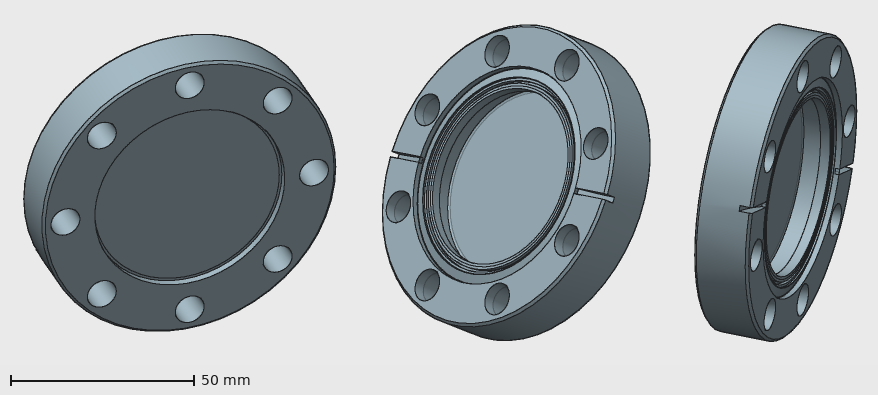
import cadquery as cq
import math


FLANGE_RADIUS = 42.8
FLANGE_THICKNESS = 15.75
RIM_CHAMFER = 0.75

RECESS_RADIUS = 30.85
RECESS_DEPTH = 1.7
KNIFE_RADIUS = 28.0
KNIFE_SLOPE = 20.0
KNIFE_TIP_FLAT = 0.15
RECESS_FLOOR_WIDTH = 0.2
FLANK_ROOT_RADIUS = RECESS_RADIUS - RECESS_FLOOR_WIDTH
FLANK_RISE = (FLANK_ROOT_RADIUS - KNIFE_RADIUS) * math.tan(math.radians(KNIFE_SLOPE))
KNIFE_TIP_X = RECESS_DEPTH - FLANK_RISE
KNIFE_INNER_RADIUS = KNIFE_RADIUS - KNIFE_TIP_FLAT

WELD_FACE_X = 1.3
RELIEF_OUTER_RADIUS = 27.15
RELIEF_DEPTH = 1.2
LIP_THICKNESS = 0.75

NECK_INNER_RADIUS = 24.9
SLEEVE_WALL = LIP_THICKNESS
NECK_OUTER_RADIUS = NECK_INNER_RADIUS + SLEEVE_WALL
STEP_INNER_X = 4.15
STEP_OUTER_X = STEP_INNER_X - SLEEVE_WALL
SKIRT_INNER_RADIUS = 26.9
SKIRT_OUTER_RADIUS = SKIRT_INNER_RADIUS + SLEEVE_WALL
RELIEF_INNER_RADIUS = NECK_OUTER_RADIUS + LIP_THICKNESS

GLASS_FRONT_X = 10.0
GLASS_THICKNESS = 3.5
GLASS_BACK_X = GLASS_FRONT_X + GLASS_THICKNESS
SEAL_WIDTH = 0.7
SEAL_RISE = 0.25

BOLT_COUNT = 8
BOLT_CIRCLE_RADIUS = 36.2
BOLT_HOLE_RADIUS = 4.2
BOLT_MOUTH_RADIUS = 4.5
BOLT_TAPER_DEPTH = 3.0

GROOVE_COUNT = 2
GROOVE_WIDTH = 1.6
GROOVE_RIM_DEPTH = 3.6
GROOVE_INNER_DEPTH = 1.2
GROOVE_OVERSHOOT = 1.0
GROOVE_ANGLE = 22.5


def revolve_about_x(points):
    """Turn a closed (x, radius) outline about the X axis."""
    return cq.Workplane("XY").polyline(points).close().revolve(360, (0, 0, 0), (1, 0, 0))


def turn_copies(tool, count, first_angle):
    """Spread copies of a tool evenly around the X axis."""
    step = 360 / count
    return [tool.rotate((0, 0, 0), (1, 0, 0), first_angle + i * step) for i in range(count)]


def make_bolt_hole():
    """Through hole at +Y whose mouth narrows to the bolt clearance radius."""
    outline = [
        (0, 0),
        (0, BOLT_MOUTH_RADIUS),
        (BOLT_TAPER_DEPTH, BOLT_HOLE_RADIUS),
        (FLANGE_THICKNESS, BOLT_HOLE_RADIUS),
        (FLANGE_THICKNESS, 0),
    ]
    return revolve_about_x(outline).translate((0, BOLT_CIRCLE_RADIUS, 0))


def make_leak_groove():
    """Radial groove at +Y whose floor runs level in from the rim, then curves up to the recess wall."""
    outer_end = FLANGE_RADIUS + GROOVE_OVERSHOOT
    profile = (
        cq.Workplane("XY", origin=(0, 0, -GROOVE_WIDTH / 2))
        .moveTo(0, outer_end)
        .lineTo(GROOVE_RIM_DEPTH, outer_end)
        .lineTo(GROOVE_RIM_DEPTH, FLANGE_RADIUS)
        .tangentArcPoint((GROOVE_INNER_DEPTH, RECESS_RADIUS), relative=False)
        .lineTo(0, RECESS_RADIUS)
        .close()
    )
    return profile.extrude(GROOVE_WIDTH)


def make_flange():
    body = revolve_about_x([
        (0, RECESS_RADIUS),
        (RECESS_DEPTH, RECESS_RADIUS),
        (RECESS_DEPTH, FLANK_ROOT_RADIUS),
        (KNIFE_TIP_X, KNIFE_RADIUS),
        (KNIFE_TIP_X, KNIFE_INNER_RADIUS),
        (WELD_FACE_X, KNIFE_INNER_RADIUS),
        (WELD_FACE_X, RELIEF_OUTER_RADIUS),
        (WELD_FACE_X + RELIEF_DEPTH, RELIEF_OUTER_RADIUS),
        (WELD_FACE_X + RELIEF_DEPTH, RELIEF_INNER_RADIUS),
        (WELD_FACE_X, RELIEF_INNER_RADIUS),
        (WELD_FACE_X, NECK_OUTER_RADIUS),
        (STEP_OUTER_X, NECK_OUTER_RADIUS),
        (STEP_OUTER_X, SKIRT_OUTER_RADIUS),
        (FLANGE_THICKNESS, SKIRT_OUTER_RADIUS),
        (FLANGE_THICKNESS, FLANGE_RADIUS - RIM_CHAMFER),
        (FLANGE_THICKNESS - RIM_CHAMFER, FLANGE_RADIUS),
        (RIM_CHAMFER, FLANGE_RADIUS),
        (0, FLANGE_RADIUS - RIM_CHAMFER),
    ])
    for hole in turn_copies(make_bolt_hole(), BOLT_COUNT, 0):
        body = body.cut(hole)
    for groove in turn_copies(make_leak_groove(), GROOVE_COUNT, GROOVE_ANGLE):
        body = body.cut(groove)
    return body


def make_sleeve():
    return revolve_about_x([
        (WELD_FACE_X, NECK_INNER_RADIUS),
        (WELD_FACE_X, NECK_OUTER_RADIUS),
        (STEP_OUTER_X, NECK_OUTER_RADIUS),
        (STEP_OUTER_X, SKIRT_OUTER_RADIUS),
        (GLASS_BACK_X, SKIRT_OUTER_RADIUS),
        (GLASS_BACK_X, SKIRT_INNER_RADIUS),
        (STEP_INNER_X, SKIRT_INNER_RADIUS),
        (STEP_INNER_X, NECK_INNER_RADIUS),
    ])


def make_glass():
    """Disc whose front rim curves up gently to meet the sleeve."""
    outline = (
        cq.Workplane("XY")
        .moveTo(GLASS_FRONT_X, 0)
        .lineTo(GLASS_FRONT_X, SKIRT_INNER_RADIUS - SEAL_WIDTH)
        .tangentArcPoint((GLASS_FRONT_X - SEAL_RISE, SKIRT_INNER_RADIUS), relative=False)
        .lineTo(GLASS_BACK_X, SKIRT_INNER_RADIUS)
        .lineTo(GLASS_BACK_X, 0)
        .close()
    )
    return outline.revolve(360, (0, 0, 0), (1, 0, 0))


flange = make_flange()
sleeve = make_sleeve()
glass = make_glass()

result = cq.Compound.makeCompound([flange.val(), sleeve.val(), glass.val()])